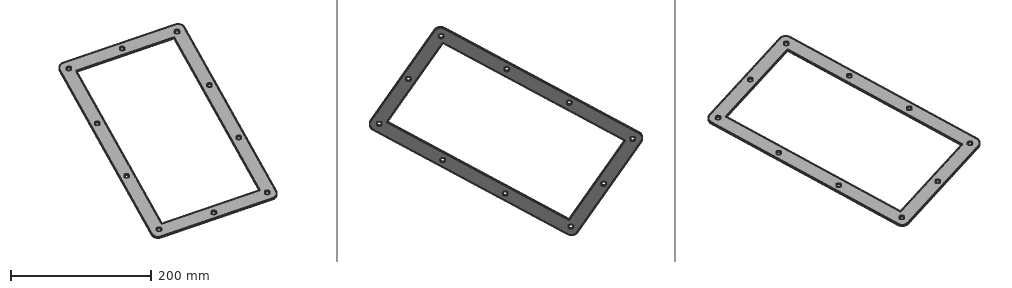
import cadquery as cq

length = 346.0
width = 193.8
thickness = 3.2
border = 20.8
corner_radius = 10.0

hole_diameter = 7.3
corner_hole_inset = 12.8
edge_hole_inset = 9.7
long_edge_hole_spacing = 104.5

corner_x = length / 2 - corner_hole_inset
corner_y = width / 2 - corner_hole_inset
short_edge_x = length / 2 - edge_hole_inset
long_edge_y = width / 2 - edge_hole_inset
long_edge_x = long_edge_hole_spacing / 2

hole_centers = [(side * short_edge_x, 0) for side in (-1, 1)]
for x_side in (-1, 1):
    for y_side in (-1, 1):
        hole_centers.append((x_side * corner_x, y_side * corner_y))
        hole_centers.append((x_side * long_edge_x, y_side * long_edge_y))

plate = cq.Workplane("XY").box(length, width, thickness).edges("|Z").fillet(corner_radius)

window = cq.Workplane("XY").box(length - 2 * border, width - 2 * border, thickness)
frame = plate.cut(window)

result = frame.faces(">Z").workplane(origin=(0, 0, 0)).pushPoints(hole_centers).hole(hole_diameter)